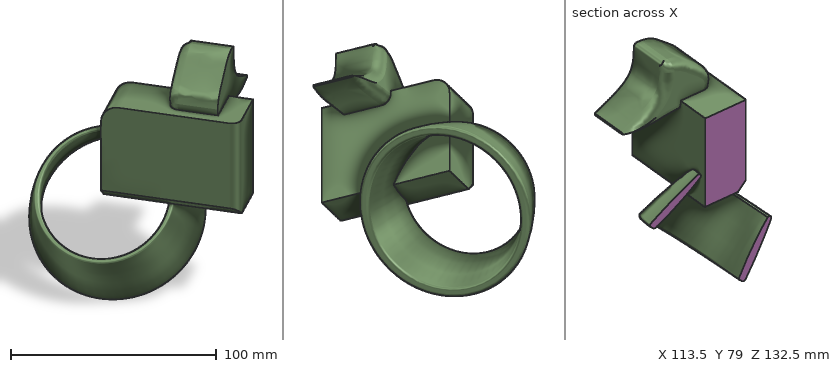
import cadquery as cq

BLOCK_WIDTH = 69.7
BLOCK_DEPTH = 25.5
BLOCK_HEIGHT = 52.8
CORNER_RADIUS = 9.1
FRONT_EDGE_SIZE = 4.9

RING_TILT = 45
SMALL_END_Y = 6.5
SMALL_END_Z = -1.2
RING_LENGTH = 34.5
SMALL_RADIUS = 34.7
LARGE_RADIUS = 44.1
WALL_BULGE = 0.7
BORE_BULGE = 1.0
SMALL_BORE_RADIUS = 32.1
LARGE_BORE_RADIUS = 39.2
SMALL_LIP_RADIUS = 1.0
LARGE_LIP_RADIUS = 1.6

HOOK_LEFT = 32.1
HOOK_WIDTH = 25.5
HOOK_EDGE_RADIUS = 5.2
HOOK_MARGIN = 39.8
CREST_RADIUS = 2.3
HOOK_TOP = 76.6
CREST_FRONT = (29.8, HOOK_TOP)
CREST_BACK = (34.3, HOOK_TOP)
NOSE = (5.3, 56.3)
NOSE_CURVE = [(8.2, 63.4), (17.4, 70.9)]
CREST_DIRECTION = (1, 0.1)
BACK_CURVE = [(34.7, 67.0), (36.6, 60.8), (41.9, 55.0), (50.5, 49.8), (58.6, 45.9)]
UNDERSIDE = [(25.6, 45.9), (50.5, 43.7), (58.6, 44.9)]
UNDERSIDE_END_DIRECTION = (1, 0.2)


def make_block():
    block = cq.Workplane("XY").box(BLOCK_WIDTH, BLOCK_DEPTH, BLOCK_HEIGHT, centered=False)
    block = block.edges("<X and >Z").fillet(CORNER_RADIUS)
    block = block.edges(">X and <Y").fillet(FRONT_EDGE_SIZE)
    bottom_cut = (
        cq.Workplane("YZ")
        .polyline([(0, 0), (FRONT_EDGE_SIZE, 0), (0, FRONT_EDGE_SIZE)])
        .close()
        .extrude(BLOCK_WIDTH)
    )
    return block.cut(bottom_cut)


def make_ring():
    mid_radius = (SMALL_RADIUS + LARGE_RADIUS) / 2 + WALL_BULGE
    mid_bore_radius = (SMALL_BORE_RADIUS + LARGE_BORE_RADIUS) / 2 - BORE_BULGE
    ring = (
        cq.Workplane("XZ")
        .moveTo(SMALL_BORE_RADIUS, 0)
        .lineTo(SMALL_RADIUS, 0)
        .threePointArc((mid_radius, -RING_LENGTH / 2), (LARGE_RADIUS, -RING_LENGTH))
        .lineTo(LARGE_BORE_RADIUS, -RING_LENGTH)
        .threePointArc((mid_bore_radius, -RING_LENGTH / 2), (SMALL_BORE_RADIUS, 0))
        .close()
        .revolve(360, (0, 0, 0), (0, 1, 0))
    )
    ring = ring.faces(">Z").edges().fillet(SMALL_LIP_RADIUS)
    ring = ring.faces("<Z").edges().fillet(LARGE_LIP_RADIUS)
    ring = ring.rotate((0, 0, 0), (1, 0, 0), RING_TILT)
    return ring.translate((0, SMALL_END_Y, SMALL_END_Z))


def make_hook():
    tip_y = BACK_CURVE[-1][0]
    nose_y, nose_z = NOSE
    profile_plane = cq.Workplane("YZ").workplane(offset=HOOK_LEFT)
    upper = (
        profile_plane.moveTo(nose_y, nose_z - HOOK_MARGIN)
        .lineTo(*NOSE)
        .spline(NOSE_CURVE + [CREST_FRONT], tangents=[(0, 1), CREST_DIRECTION], includeCurrent=True)
        .lineTo(*CREST_BACK)
        .spline(BACK_CURVE, includeCurrent=True)
        .lineTo(tip_y, nose_z - HOOK_MARGIN)
        .close()
        .extrude(HOOK_WIDTH)
    )
    lower = (
        profile_plane.moveTo(nose_y, nose_z + HOOK_MARGIN)
        .lineTo(*NOSE)
        .spline(UNDERSIDE, tangents=[(0, -1), UNDERSIDE_END_DIRECTION], includeCurrent=True)
        .lineTo(tip_y, nose_z + HOOK_MARGIN)
        .close()
        .extrude(HOOK_WIDTH)
    )
    upper = upper.faces("<X").edges("not(<Z or >Y)").fillet(HOOK_EDGE_RADIUS)
    lower = lower.faces("<X").edges("not(>Z or >Y)").fillet(HOOK_EDGE_RADIUS)
    back_y = CREST_BACK[0]
    crest_scrap = (
        profile_plane.moveTo(back_y - CREST_RADIUS, HOOK_TOP)
        .radiusArc((back_y, HOOK_TOP - CREST_RADIUS), CREST_RADIUS)
        .lineTo(back_y + CREST_RADIUS, HOOK_TOP - CREST_RADIUS)
        .lineTo(back_y + CREST_RADIUS, HOOK_TOP + CREST_RADIUS)
        .lineTo(back_y - CREST_RADIUS, HOOK_TOP + CREST_RADIUS)
        .close()
        .extrude(HOOK_WIDTH)
    )
    return upper.intersect(lower).cut(crest_scrap)



result = make_block().union(make_ring()).union(make_hook())